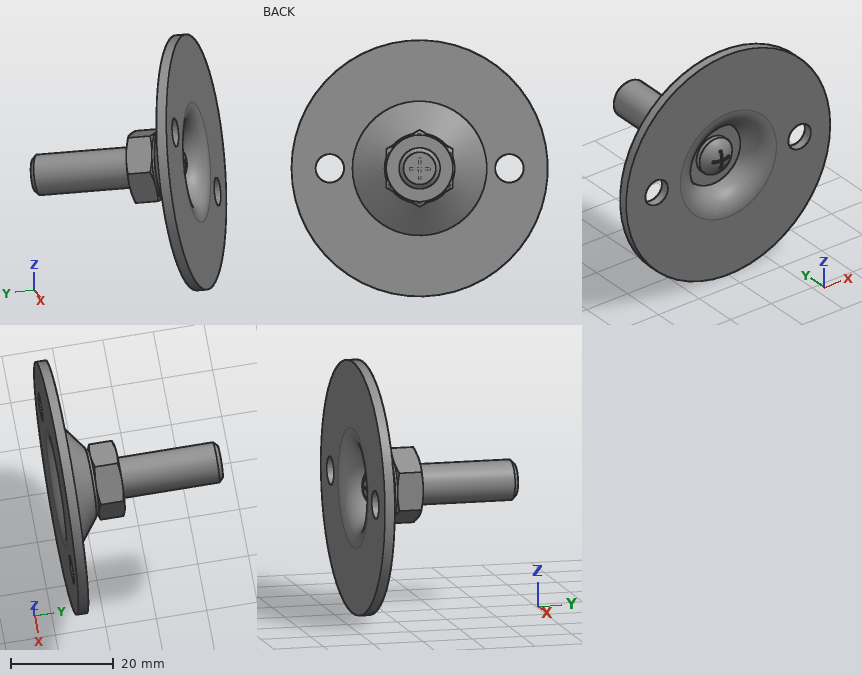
import cadquery as cq

flange_diameter = 50
flange_thickness = 2
total_length = 32.5

screw_hole_diameter = 5.5
screw_hole_spacing = 35

cone_base_diameter = 26.2
cone_top_diameter = 13.7
cone_top = 6.8

nut_across_flats = 13
nut_start = 7.35
nut_end = 12.5
nut_chamfer_height = 0.35
nut_chamfer_slope = 3
collar_diameter = nut_across_flats

stud_diameter = 8
stud_chamfer = 0.85

recess_floor_diameter = 13.5
recess_flare = 5
recess_depth = recess_flare

head_rim_height = 1
head_dome_height = 2
slot_length = 4.1
slot_width = 0.5
slot_depth = 0.5


def disc(diameter, start, end):
    """Cylinder about the Y axis between two Y positions."""
    return (
        cq.Workplane("XZ", origin=(0, start, 0))
        .circle(diameter / 2)
        .extrude(start - end)
    )


def revolve_about_y(profile):
    return profile.close().revolve(360, (0, 0, 0), (0, 1, 0))


def make_cone():
    return revolve_about_y(
        cq.Workplane("XY")
        .moveTo(0, flange_thickness)
        .lineTo(cone_base_diameter / 2, flange_thickness)
        .lineTo(cone_top_diameter / 2, cone_top)
        .lineTo(0, cone_top)
    )


def make_nut():
    """Hexagon with corners on the Z axis, both ends chamfered by turning."""
    hexagon = (
        cq.Workplane("XZ", origin=(0, nut_start, 0))
        .polygon(6, nut_across_flats, circumscribed=True)
        .extrude(nut_start - nut_end)
    )
    end_radius = nut_across_flats / 2
    middle_radius = end_radius + nut_chamfer_height * nut_chamfer_slope
    turned_blank = revolve_about_y(
        cq.Workplane("XY")
        .moveTo(0, nut_start)
        .lineTo(end_radius, nut_start)
        .lineTo(middle_radius, nut_start + nut_chamfer_height)
        .lineTo(middle_radius, nut_end - nut_chamfer_height)
        .lineTo(end_radius, nut_end)
        .lineTo(0, nut_end)
    )
    return hexagon.intersect(turned_blank)


def make_stud():
    return disc(stud_diameter, cone_top, total_length).faces(">Y").chamfer(stud_chamfer)


def make_recess():
    """Trumpet-shaped hollow whose wall blends into the flange face."""
    floor_radius = recess_floor_diameter / 2
    mouth_radius = floor_radius + recess_flare
    diagonal = recess_flare * 0.5 ** 0.5
    return revolve_about_y(
        cq.Workplane("XY")
        .lineTo(mouth_radius, 0)
        .threePointArc(
            (mouth_radius - diagonal, recess_flare - diagonal),
            (floor_radius, recess_flare),
        )
        .lineTo(0, recess_depth)
    )


def make_head():
    """Domed stud head standing on the recess floor, with a cross slot."""
    radius = stud_diameter / 2
    rim = recess_depth - head_rim_height
    tip = rim - head_dome_height
    dome_radius = (radius**2 + head_dome_height**2) / (2 * head_dome_height)
    half_radius = radius / 2
    half_point_drop = dome_radius - (dome_radius**2 - half_radius**2) ** 0.5
    head = revolve_about_y(
        cq.Workplane("XY")
        .moveTo(0, recess_depth)
        .lineTo(radius, recess_depth)
        .lineTo(radius, rim)
        .threePointArc((half_radius, tip + half_point_drop), (0, tip))
    )
    slot_floor = tip + slot_depth
    for size_x, size_z in ((slot_length, slot_width), (slot_width, slot_length)):
        slot = cq.Workplane("XZ", origin=(0, slot_floor, 0)).rect(size_x, size_z).extrude(slot_floor)
        head = head.cut(slot)
    return head


def make_screw_holes():
    half_spacing = screw_hole_spacing / 2
    return (
        cq.Workplane("XZ")
        .pushPoints([(-half_spacing, 0), (half_spacing, 0)])
        .circle(screw_hole_diameter / 2)
        .extrude(-flange_thickness)
    )


flange = disc(flange_diameter, 0, flange_thickness)
collar = disc(collar_diameter, cone_top, nut_start)
body = flange.union(make_cone()).union(collar).union(make_nut()).union(make_stud())
result = body.cut(make_recess()).cut(make_screw_holes()).union(make_head())